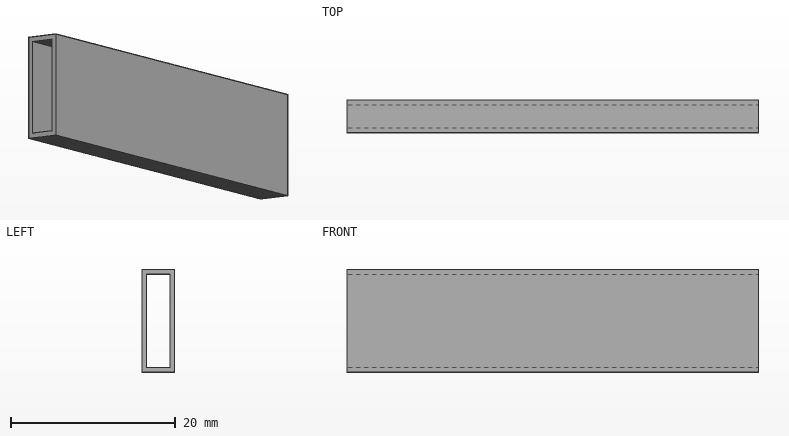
import cadquery as cq

length = 50.0
width = 4.0
height = 12.5
wall = 0.6

outer = cq.Workplane("XY").box(length, width, height)
bore = cq.Workplane("XY").box(length, width - 2 * wall, height - 2 * wall)

result = outer.cut(bore)